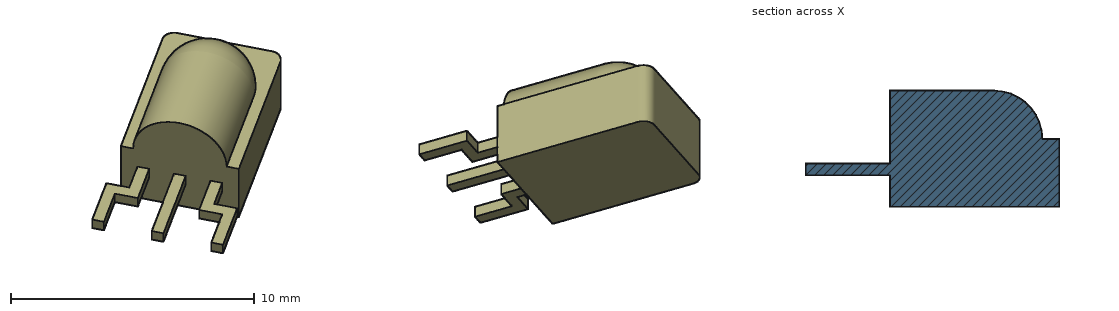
import cadquery as cq

total_length = 10.45
total_height = 4.8
pin_span = 5.58

body_width = 5.04
body_length = 6.98
lens_radius = 2.0
body_height = total_height - lens_radius
corner_radius = 0.5

lens_back_margin = 0.7
lens_cylinder_length = body_length - lens_back_margin - lens_radius

pin_size = 0.5
pin_length = total_length - body_length
pin_bottom = 1.3
inner_leg_edge = 1.31
jog_start = 1.26


def make_body():
    block = cq.Workplane("XY").box(body_width, body_length, body_height, centered=(True, False, False))
    return block.edges("|Z and >Y").fillet(corner_radius)


def make_lens():
    profile = (
        cq.Workplane("XY", origin=(0, 0, body_height))
        .lineTo(lens_radius, 0)
        .lineTo(lens_radius, lens_cylinder_length)
        .radiusArc((0, lens_cylinder_length + lens_radius), -lens_radius)
        .close()
    )
    full_lens = profile.revolve(360, (0, 0, 0), (0, 1, 0))
    upper_half = cq.Workplane("XY", origin=(0, 0, body_height)).box(
        2 * body_width, 2 * body_length, total_height, centered=(True, True, False)
    )
    return full_lens.intersect(upper_half)


def make_straight_pin():
    return (
        cq.Workplane("XY", origin=(0, -pin_length / 2, pin_bottom))
        .rect(pin_size, pin_length)
        .extrude(pin_size)
    )


def make_jogged_pin(side):
    """Z-shaped flat pin; side is -1 for left and 1 for right."""
    inner = inner_leg_edge
    outer = pin_span / 2
    jog_end = jog_start + pin_size
    outline = [
        (inner, 0),
        (inner + pin_size, 0),
        (inner + pin_size, -jog_start),
        (outer, -jog_start),
        (outer, -pin_length),
        (outer - pin_size, -pin_length),
        (outer - pin_size, -jog_end),
        (inner, -jog_end),
    ]
    return (
        cq.Workplane("XY", origin=(0, 0, pin_bottom))
        .polyline([(side * x, y) for x, y in outline])
        .close()
        .extrude(pin_size)
    )


part = make_body().union(make_lens()).union(make_straight_pin())
for side in (-1, 1):
    part = part.union(make_jogged_pin(side))

result = part